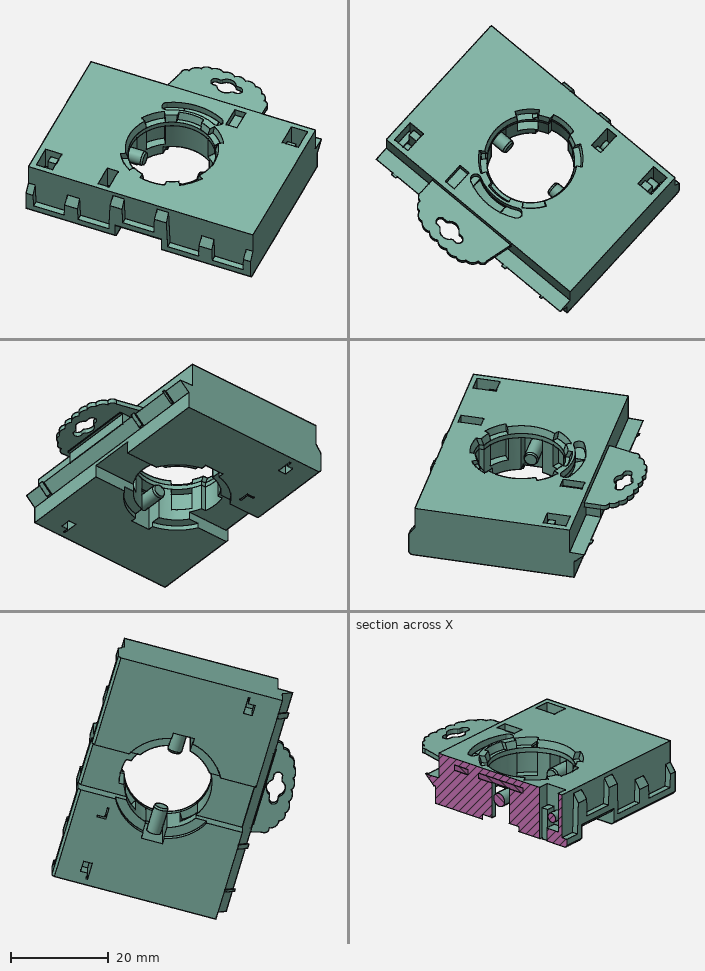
import cadquery as cq
import math

WIDTH = 50.0
HEIGHT = 11.6
FRONT_WALL_Y = -16.35
REAR_WALL_Y = 16.35
FRONT_Y = -17.65
BASE_REAR_Y = 17.3

FOOT_CHAMFER_Y = 0.55
FOOT_CHAMFER_Z = 0.6
RIB_SLOPE_HEIGHT = 1.8
TALL_RIB_SHOULDER_Z = 8.85
LOW_RIB_SHOULDER_Z = 5.0
LOW_RIB_ZONE_X = 10.0
PANEL_FLOOR_Z = 2.0
CENTRE_PANEL_FLOOR_Z = 5.0
PANEL_DRAFT = 0.04
OUTER_PANEL_X = (16.5, 23.3)
INNER_PANEL_X = (6.55, 13.4)
CENTRE_PANEL_HALF = 3.45

CHANNEL_HALF = 5.15
CHANNEL_HEIGHT = 2.9
CHANNEL_CHAMFER_Z = 0.75

FLANGE_TIP_Y = 19.5
FLANGE_TIP_Z = 5.95
FLANGE_WALL_Z = 6.1
FLANGE_ROOT_Z = 3.85
FLANGE_RIB_HEIGHT = 0.45
FLANGE_RIBS = ((-20.0, 0.5), (-9.95, 1.0), (19.9, 1.2))
BLOCK_X = (-6.0, 11.0)
BLOCK_Y = 19.4
BLOCK_TOP_Z = 8.8
BLOCK_LIP = 0.25

LEVER_BOTTOM_Z = 9.0
LEVER_TOP_Z = 10.05
BORE_RADIUS = 9.0
RIM_RADIUS = 9.55
UNDERSIDE_RECESS_RADIUS = 11.0
UNDERSIDE_RECESS_DEPTH = 1.1
LEVER_RING_RADIUS = 11.5
DIAGONALS = (45, 135, 225, 315)
DIAGONAL_NOTCH_HALF_ANGLE = 13.5
DIAGONAL_NOTCH_RADIUS = 10.7
DIAGONAL_NOTCH_FLOOR_Z = 3.75
NOTCH_TAPER = 0.4
KEYWAY_HALF = 2.7
REAR_KEYWAY_RADIUS = 9.8
REAR_KEYWAY_TOP_RADIUS = 10.45
KEYWAY_RADIUS = 10.0
KEYWAY_TOP_RADIUS = 10.6
RAMP_ANGLES = (45, 315)
RAMP_RADII = (9.15, 10.05)
RAMP_LENGTH = 1.0
RAMP_OFFSET = 2.05
RAMP_HEIGHT = 0.75

SLOT_RADIUS = 12.1
SLOT_WIDTH = 2.2
SLOT_HALF_ANGLE = 27.5
SLOPE_X = (-2.6, 5.3)
SLOPE_DEPTH = 0.95

HANDLE_LEFT_ROOT = (-10.2, 11.0)
HANDLE_RIGHT_X = 12.5
HANDLE_RIGHT_TOP_Y = 19.7
LEVER_SHOULDER_Y = 6.0
GRIP_VALLEYS = (
    (-7.4, 22.1), (-6.1, 23.3), (-4.05, 24.8), (-2.05, 25.55), (0.55, 25.55), (3.15, 25.35),
    (5.65, 25.05), (8.2, 24.4), (10.15, 23.05), (11.4, 21.35), (HANDLE_RIGHT_X, HANDLE_RIGHT_TOP_Y),
)
GRIP_BULGE = 0.5
EYE_CENTRE = (2.7, 22.2)
EYE_RADIUS = 1.95
EYE_SLOT_LENGTH = 7.1
EYE_SLOT_WIDTH = 1.8
EYE_TILT = -5.0
EYE_FILLET = 0.6

SCREW_RADIUS = 1.5
SCREW_TIP_X = 6.15
SCREW_END_X = 15.0
SCREW_Z = 5.65
SCREW_OFFSET_Y = 0.375
SCREW_TIP_CHAMFER_X = 0.45
SCREW_TIP_CHAMFER_R = 0.2
SCREW_POCKET_END_X = 12.0
SCREW_POCKET_HALF = 2.25

CORNER_WINDOW = (-23.7, -20.1, -15.25, -10.4)
MIDDLE_WINDOW = (-9.95, -7.5, -15.25, -10.4)
LEVER_WINDOW = (7.5, 9.95, 10.6, 15.2)
SHELF_GAP = 0.35
SHELF_LENGTH = 1.5
CORNER_SHELF_Z = 10.25
MIDDLE_SHELF_Z = 7.0
INSERT_FLOOR_Z = 3.0
POST_WIDTH = 1.3
POST_TOP_Z = 7.0
PEG_RADIUS = 1.05
PEG_Y = -13.6
PEG_END_GAP = 0.4


def block(x0, x1, y0, y1, z0, z1):
    return cq.Workplane("XY").box(x1 - x0, y1 - y0, z1 - z0, centered=False).translate((x0, y0, z0))


def x_prism(points_yz, x0, x1):
    return cq.Workplane("YZ").polyline(points_yz).close().extrude(x1 - x0).translate((x0, 0, 0))


def tapered_disc(bottom_radius, top_radius, z0, z1):
    outline = [(0, z0), (bottom_radius, z0), (top_radius, z1), (0, z1)]
    return cq.Workplane("XZ").polyline(outline).close().revolve(360, (0, 0), (0, 1))


def disc(radius, z0, z1):
    return cq.Workplane("XY").circle(radius).extrude(z1 - z0).translate((0, 0, z0))


def wedge(angle, half_angle, z0, z1):
    """Triangular prism from the axis, reaching well past the diagonal notches."""
    reach = 2 * DIAGONAL_NOTCH_RADIUS
    spread = reach * math.tan(math.radians(half_angle))
    prism = cq.Workplane("XY").polyline([(0, 0), (reach, -spread), (reach, spread)]).close()
    return prism.extrude(z1 - z0).translate((0, 0, z0)).rotate((0, 0, 0), (0, 0, 1), angle)


def half_turn(shape):
    return shape.rotate((0, 0, 0), (0, 0, 1), 180)


def grip_outline():
    """Plan outline of the lever arm, with a scalloped far edge."""
    outline = cq.Workplane("XY").moveTo(-RIM_RADIUS, LEVER_SHOULDER_Y)
    outline = outline.lineTo(*HANDLE_LEFT_ROOT).lineTo(*GRIP_VALLEYS[0])
    for (x0, y0), (x1, y1) in zip(GRIP_VALLEYS, GRIP_VALLEYS[1:]):
        length = math.hypot(x1 - x0, y1 - y0)
        crest_x = (x0 + x1) / 2 - GRIP_BULGE * (y1 - y0) / length
        crest_y = (y0 + y1) / 2 + GRIP_BULGE * (x1 - x0) / length
        outline = outline.threePointArc((crest_x, crest_y), (x1, y1))
    outline = outline.lineTo(HANDLE_RIGHT_X, HANDLE_LEFT_ROOT[1]).lineTo(RIM_RADIUS, LEVER_SHOULDER_Y)
    return outline.close()


def lever_blank():
    arm = grip_outline().extrude(LEVER_TOP_Z - LEVER_BOTTOM_Z).translate((0, 0, LEVER_BOTTOM_Z))
    return arm.union(disc(LEVER_RING_RADIUS, LEVER_BOTTOM_Z, LEVER_TOP_Z))


def handle_eye():
    slot = cq.Workplane("XY").slot2D(EYE_SLOT_LENGTH, EYE_SLOT_WIDTH, EYE_TILT).extrude(HEIGHT)
    eye = slot.union(cq.Workplane("XY").circle(EYE_RADIUS).extrude(HEIGHT))
    corner = cq.selectors.BoxSelector(
        (-EYE_RADIUS, -EYE_RADIUS, 0), (EYE_RADIUS, EYE_RADIUS, HEIGHT))
    eye = eye.edges("|Z").edges(corner).fillet(EYE_FILLET)
    return eye.translate((*EYE_CENTRE, 0))


def slope_cut():
    """Conical slope below the curved slot, falling towards the opening."""
    inner = SLOT_RADIUS - SLOT_WIDTH / 2
    outer = SLOT_RADIUS + SLOT_WIDTH / 2
    outline = [(inner, LEVER_TOP_Z), (outer, LEVER_TOP_Z), (inner, LEVER_TOP_Z - SLOPE_DEPTH)]
    cone = cq.Workplane("XZ").polyline(outline).close().revolve(360, (0, 0), (0, 1))
    return cone.intersect(block(*SLOPE_X, 0, REAR_WALL_Y, 0, HEIGHT))


def front_keyway(radius, z0, z1):
    return disc(radius, z0, z1).intersect(block(-KEYWAY_HALF, KEYWAY_HALF, FRONT_Y, 0, z0, z1))


def lever_ramp(angle):
    """Small ramp on the lever ring, rising towards the clockwise end of a diagonal notch."""
    low = (RAMP_LENGTH - RAMP_OFFSET, LEVER_TOP_Z)
    outline = [(-RAMP_OFFSET, LEVER_TOP_Z), low, (-RAMP_OFFSET, LEVER_TOP_Z + RAMP_HEIGHT)]
    return x_prism(outline, *RAMP_RADII).rotate((0, 0, 0), (0, 0, 1), angle)


def make_lever():
    lever = lever_blank().cut(disc(BORE_RADIUS, 0, HEIGHT))
    lever = lever.cut(front_keyway(KEYWAY_RADIUS, 0, HEIGHT))
    lever = lever.cut(handle_eye()).cut(slope_cut())
    for angle in RAMP_ANGLES:
        lever = lever.union(lever_ramp(angle))
    return lever


def make_screw():
    """Screw on the +X side, lying along X with its chamfered tip in the opening."""
    tip_radius = SCREW_RADIUS - SCREW_TIP_CHAMFER_R
    outline = [
        (SCREW_TIP_X, 0), (SCREW_TIP_X, tip_radius),
        (SCREW_TIP_X + SCREW_TIP_CHAMFER_X, SCREW_RADIUS),
        (SCREW_END_X, SCREW_RADIUS), (SCREW_END_X, 0),
    ]
    screw = cq.Workplane("XY").polyline(outline).close().revolve(360, (0, 0), (1, 0))
    return screw.translate((0, -SCREW_OFFSET_Y, SCREW_Z))


def housing_blank():
    profile = [
        (FRONT_Y + FOOT_CHAMFER_Y, 0), (BASE_REAR_Y, 0), (BASE_REAR_Y, FLANGE_ROOT_Z),
        (FLANGE_TIP_Y, FLANGE_TIP_Z), (REAR_WALL_Y, FLANGE_WALL_Z), (REAR_WALL_Y, HEIGHT),
        (FRONT_WALL_Y, HEIGHT), (FRONT_WALL_Y, TALL_RIB_SHOULDER_Z + RIB_SLOPE_HEIGHT),
        (FRONT_Y, TALL_RIB_SHOULDER_Z), (FRONT_Y, FOOT_CHAMFER_Z),
    ]
    return x_prism(profile, -WIDTH / 2, WIDTH / 2)


def low_rib_cut(x0, x1):
    profile = [
        (FRONT_Y, LOW_RIB_SHOULDER_Z), (FRONT_WALL_Y, LOW_RIB_SHOULDER_Z + RIB_SLOPE_HEIGHT),
        (FRONT_WALL_Y, HEIGHT), (FRONT_Y, HEIGHT),
    ]
    return x_prism(profile, x0, x1)


def panel_cut(x0, x1, floor_z):
    widening = PANEL_DRAFT * (HEIGHT - floor_z)
    outline = [(x0, floor_z), (x1, floor_z), (x1 + widening, HEIGHT), (x0 - widening, HEIGHT)]
    panel = cq.Workplane("XZ").polyline(outline).close().extrude(FRONT_WALL_Y - FRONT_Y)
    return panel.translate((0, FRONT_WALL_Y, 0))


def cut_front_panels(body):
    body = body.cut(low_rib_cut(-WIDTH / 2, -LOW_RIB_ZONE_X)).cut(low_rib_cut(LOW_RIB_ZONE_X, WIDTH / 2))
    for near, far in (OUTER_PANEL_X, INNER_PANEL_X):
        body = body.cut(panel_cut(near, far, PANEL_FLOOR_Z)).cut(panel_cut(-far, -near, PANEL_FLOOR_Z))
    return body.cut(panel_cut(-CENTRE_PANEL_HALF, CENTRE_PANEL_HALF, CENTRE_PANEL_FLOOR_Z))


def channel_cut():
    profile = [
        (FRONT_Y, 0), (BASE_REAR_Y, 0), (BASE_REAR_Y, CHANNEL_HEIGHT),
        (FRONT_Y + FOOT_CHAMFER_Y, CHANNEL_HEIGHT), (FRONT_Y, CHANNEL_HEIGHT + CHANNEL_CHAMFER_Z),
    ]
    return x_prism(profile, -CHANNEL_HALF, CHANNEL_HALF)


def add_rear_details(body):
    rib_profile = [
        (BASE_REAR_Y, FLANGE_ROOT_Z), (BASE_REAR_Y + FLANGE_RIB_HEIGHT, FLANGE_ROOT_Z),
        (FLANGE_TIP_Y + FLANGE_RIB_HEIGHT, FLANGE_TIP_Z), (FLANGE_TIP_Y, FLANGE_TIP_Z),
    ]
    for centre_x, width in FLANGE_RIBS:
        body = body.union(x_prism(rib_profile, centre_x - width / 2, centre_x + width / 2))
    body = body.union(block(*BLOCK_X, REAR_WALL_Y, BLOCK_Y, FLANGE_TIP_Z, BLOCK_TOP_Z))
    lip_y = FLANGE_TIP_Y + FLANGE_RIB_HEIGHT
    return body.union(block(*BLOCK_X, BLOCK_Y, lip_y, BLOCK_TOP_Z - BLOCK_LIP, BLOCK_TOP_Z))


def cut_opening(body):
    body = body.cut(disc(BORE_RADIUS, 0, HEIGHT))
    body = body.cut(disc(UNDERSIDE_RECESS_RADIUS, 0, UNDERSIDE_RECESS_DEPTH))
    body = body.cut(tapered_disc(BORE_RADIUS, RIM_RADIUS, LEVER_TOP_Z, HEIGHT))
    body = body.cut(front_keyway(KEYWAY_RADIUS, 0, HEIGHT))

    straight = disc(DIAGONAL_NOTCH_RADIUS, DIAGONAL_NOTCH_FLOOR_Z, LEVER_TOP_Z)
    tapered = tapered_disc(
        DIAGONAL_NOTCH_RADIUS - NOTCH_TAPER, DIAGONAL_NOTCH_RADIUS, LEVER_TOP_Z, HEIGHT)
    notch = straight.union(tapered)
    for angle in DIAGONALS:
        body = body.cut(notch.intersect(wedge(angle, DIAGONAL_NOTCH_HALF_ANGLE, 0, HEIGHT)))

    rear = tapered_disc(REAR_KEYWAY_RADIUS, REAR_KEYWAY_TOP_RADIUS, LEVER_TOP_Z, HEIGHT)
    body = body.cut(rear.intersect(block(-KEYWAY_HALF, KEYWAY_HALF, 0, REAR_WALL_Y, 0, HEIGHT)))
    front = tapered_disc(KEYWAY_RADIUS, KEYWAY_TOP_RADIUS, LEVER_TOP_Z, HEIGHT)
    return body.cut(front.intersect(block(-KEYWAY_HALF, KEYWAY_HALF, FRONT_Y, 0, 0, HEIGHT)))


def curved_slot():
    def at(radius, angle):
        return radius * math.sin(math.radians(angle)), radius * math.cos(math.radians(angle))

    half = SLOT_WIDTH / 2
    inner = SLOT_RADIUS - half
    outer = SLOT_RADIUS + half
    cap_angle = SLOT_HALF_ANGLE + math.degrees(half / SLOT_RADIUS)
    slot = cq.Workplane("XY").moveTo(*at(outer, -SLOT_HALF_ANGLE))
    slot = slot.threePointArc(at(outer, 0), at(outer, SLOT_HALF_ANGLE))
    slot = slot.threePointArc(at(SLOT_RADIUS, cap_angle), at(inner, SLOT_HALF_ANGLE))
    slot = slot.threePointArc(at(inner, 0), at(inner, -SLOT_HALF_ANGLE))
    slot = slot.threePointArc(at(SLOT_RADIUS, -cap_angle), at(outer, -SLOT_HALF_ANGLE)).close()
    return slot.extrude(HEIGHT - LEVER_TOP_Z).translate((0, 0, LEVER_TOP_Z))


def screw_pocket():
    """Clearance around the exposed length of the +X screw, open to the underside."""
    return block(0, SCREW_POCKET_END_X, -SCREW_POCKET_HALF, SCREW_POCKET_HALF, 0, LEVER_BOTTOM_Z)


def window_peg(x0, x1):
    peg = cq.Workplane("YZ").circle(PEG_RADIUS).extrude(x1 - x0)
    return peg.translate((x0, PEG_Y, SCREW_Z))


def corner_window_insert():
    """Shelf, side post and peg inside the window at the -X, -Y corner."""
    x0, x1, y0, y1 = CORNER_WINDOW
    post_x = x0 + POST_WIDTH
    shelf_y = y1 - SHELF_GAP
    post = block(x0, post_x, y0 + SHELF_GAP, shelf_y, 0, POST_TOP_Z)
    shelf = block(x0, x1 - SHELF_GAP, shelf_y - SHELF_LENGTH, shelf_y, INSERT_FLOOR_Z, CORNER_SHELF_Z)
    shelf = shelf.cut(block(x0, post_x, y0, y1, POST_TOP_Z, HEIGHT))
    floor = block(x0, x1, y0, shelf_y - SHELF_LENGTH, 0, INSERT_FLOOR_Z)
    return post.union(shelf).union(floor).union(window_peg(post_x, x1))


def middle_window_insert():
    """Shelf and peg inside the middle window."""
    x0, x1, y0, y1 = MIDDLE_WINDOW
    shelf_y = y1 - SHELF_GAP
    shelf = block(x0 + SHELF_GAP, x1, shelf_y - SHELF_LENGTH, shelf_y, 0, MIDDLE_SHELF_Z)
    floor = block(x0, x1, y0, shelf_y - SHELF_LENGTH, 0, INSERT_FLOOR_Z)
    return shelf.union(floor).union(window_peg(x0, x1 - PEG_END_GAP))


def add_windows(body):
    corner_cut = block(*CORNER_WINDOW, 0, HEIGHT)
    corner_insert = corner_window_insert()
    body = body.cut(corner_cut).union(corner_insert)
    body = body.cut(half_turn(corner_cut)).union(half_turn(corner_insert))
    body = body.cut(block(*MIDDLE_WINDOW, 0, HEIGHT)).union(middle_window_insert())
    return body.cut(block(*LEVER_WINDOW, LEVER_TOP_Z, HEIGHT))


def make_housing(screws):
    body = cut_front_panels(housing_blank()).cut(channel_cut())
    body = cut_opening(add_rear_details(body))
    body = body.cut(lever_blank()).cut(curved_slot())
    body = body.cut(screw_pocket()).cut(half_turn(screw_pocket()))
    for screw in screws:
        body = body.cut(screw)
    return add_windows(body)


lever = make_lever()
screws = [make_screw().rotate((0, 0, 0), (0, 0, 1), turn) for turn in (0, 180)]
housing = make_housing(screws)

result = cq.Compound.makeCompound([
    housing.solids().val(), lever.solids().val(), *[screw.val() for screw in screws],
])